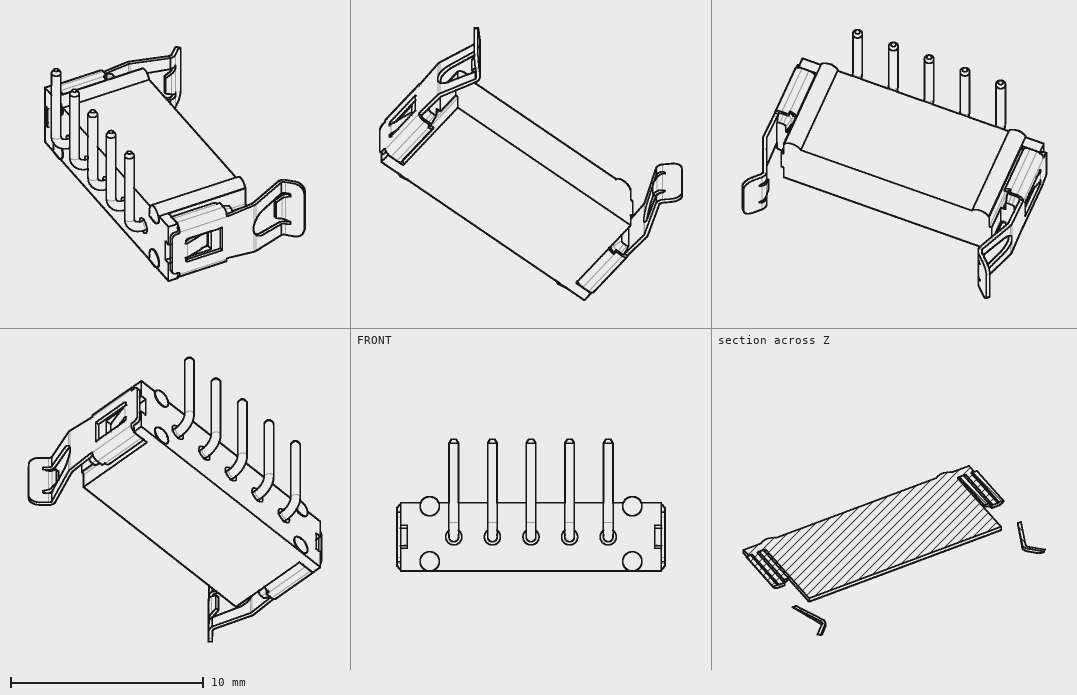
import cadquery as cq
import math


housing_height = 3.55
mid_height = housing_height / 2
housing_depth = 5.09
body_half_width = 5.75
clip_thickness = 0.2
outer_half_width = 6.95
flange_half_width = outer_half_width - clip_thickness
flange_thickness = 0.55

ridge_radius = 0.5
ridge_half_spacing = 5.25
ridge_top = 3.86
ridge_overhang = 0.04
point_length = 0.28

rail_half_height = 0.71
rail_projection = 0.14
neck_rounding = 0.08
lug_back = 3.82
lug_rounding = 0.26
lug_inner_clearance = 0.03
lug_taper_angle = 14

pin_count = 5
pin_pitch = 2.0
pin_radius = 0.25
pin_tip_radius = 0.13
pin_tip_length = 0.21
pin_bend_radius = 0.76
pin_axis_offset = 0.82
pin_top = 6.84
pin_insertion = housing_depth / 2
pin_countersink_radius = 0.42
pin_positions = [(i - (pin_count - 1) / 2) * pin_pitch for i in range(pin_count)]

channel_depth_x = 1.14
channel_half_height = 1.75
channel_bend_radius = 0.38
channel_back = 3.34
channel_inner_bend_back = 3.15
channel_flat_half_height = channel_half_height - channel_bend_radius

lug_inner_x = channel_depth_x - outer_half_width - clip_thickness - lug_inner_clearance

clip_front = 0.11
front_tab_half_height = 1.28
front_tab_rounding = 0.24
front_tab_relief = 0.08
flare_start = 3.52
arm_bend_y = 4.99
arm_end_x = -6.13
arm_end_y = 6.99
tail_bend_y = 7.1
tail_end_y = 7.9
tail_half_height = 1.72
tail_rounding = 0.54
arm_bend_inner_radius = 0.18
tail_bend_inner_radius = 0.24

opening_front = 4.9
opening_arc_y = 5.52
opening_arc_half_height = 0.79
opening_half_height = 1.0
opening_back = 7.38
tongue_front = 6.69
tongue_tip_half_height = 0.51
tongue_root_half_height = 0.83

window_front = 0.92
window_back = 3.06
window_half_height = 0.74
window_rounding = 0.14
tang_half_height = 0.46
tang_bend_y = 1.01
tang_back = 2.42
tang_drop = 0.43
groove_depth = 0.33
groove_back = 2.52
groove_half_height = 0.6


def box(x_range, y_range, z_range):
    """Axis-aligned box from its limits."""
    sizes = [high - low for low, high in (x_range, y_range, z_range)]
    corner = (x_range[0], y_range[0], z_range[0])
    return cq.Workplane("XY").box(*sizes, centered=False).translate(corner)


def about_mid(half_height):
    """Z limits of a feature centred on the housing height."""
    return (mid_height - half_height, mid_height + half_height)


def xz_plane(y):
    """Workplane at a given Y whose normal points to +Y; local x is -X and local y is Z."""
    return cq.Workplane(cq.Plane(origin=(0, y, 0), xDir=(-1, 0, 0), normal=(0, 1, 0)))


def mirrored(shape):
    """The matching shape at the +X end."""
    return shape.mirror("YZ")



def ridge(x, z):
    """Round bar along Y that ends in a point at the front."""
    bar_length = housing_depth + ridge_overhang
    bar = xz_plane(-ridge_overhang).center(-x, z).circle(ridge_radius).extrude(bar_length)
    point = cq.Solid.makeCone(
        0, ridge_radius, point_length, pnt=(x, -ridge_overhang - point_length, z), dir=(0, 1, 0)
    )
    return bar.union(cq.Workplane(point))


def lug():
    """Rounded head that fills the clip channel; its back end narrows to lead the clip on."""
    width = flange_half_width + lug_inner_x
    height = 2 * (channel_half_height - clip_thickness)
    profile = cq.Sketch().rect(width, height).vertices().fillet(lug_rounding)
    centre = ((flange_half_width - lug_inner_x) / 2, mid_height)
    head = (
        xz_plane(flange_thickness).center(*centre).placeSketch(profile)
        .extrude(channel_back - flange_thickness)
    )
    lead_in = (
        xz_plane(channel_back).center(*centre).placeSketch(profile)
        .extrude(lug_back - channel_back, taper=lug_taper_angle)
    )
    return head.union(lead_in)


def rail_and_neck():
    """Rail along the body and neck that joins it to the lug, with rounded inner corners."""
    rail_x = -body_half_width - rail_projection
    raw_heights = about_mid(rail_half_height + neck_rounding)
    rail = box((rail_x, -body_half_width), (0, housing_depth), raw_heights)
    neck = box((lug_inner_x, -body_half_width), (0, lug_back), raw_heights)
    slot_base = mid_height + rail_half_height
    upper_slot = box((lug_inner_x, -body_half_width), (0, housing_depth), (slot_base, housing_height))
    upper_slot = upper_slot.edges("|Y and <Z").fillet(neck_rounding)
    lower_slot = upper_slot.mirror("XY", basePointVector=(0, 0, mid_height))
    joint_x = lug_inner_x - lug_rounding
    joint = box((joint_x, lug_inner_x), (0, lug_back), about_mid(rail_half_height))
    return rail.union(neck).cut(upper_slot).cut(lower_slot).union(joint)


def tang_groove():
    """Groove open at the front, ending in the wall that the tang locks against."""
    floor_x = groove_depth - flange_half_width
    return box((-flange_half_width, floor_x), (0, groove_back), about_mid(groove_half_height))


def make_housing(pins, clips):
    """Housing with a hole for each pin and a recess where each tang tip presses in."""
    body = box((-body_half_width, body_half_width), (0, housing_depth), (0, housing_height))
    flange = box((-flange_half_width, flange_half_width), (0, flange_thickness), (0, housing_height))
    housing = body.union(flange)
    end_features = lug().union(rail_and_neck())
    for z in (ridge_radius, ridge_top - ridge_radius):
        end_features = end_features.union(ridge(-ridge_half_spacing, z))
    housing = housing.union(end_features).union(mirrored(end_features))
    housing = housing.cut(tang_groove()).cut(mirrored(tang_groove()))
    for clip in clips:
        housing = housing.cut(clip)
    countersink_depth = pin_countersink_radius - pin_radius
    for x, pin in zip(pin_positions, pins):
        countersink = cq.Solid.makeCone(
            pin_countersink_radius, pin_radius, countersink_depth, pnt=(x, 0, mid_height), dir=(0, 1, 0)
        )
        housing = housing.cut(cq.Workplane(countersink)).cut(pin)
    return housing



def make_pin(x):
    """Round pin that leaves the housing forwards, bends upwards and ends in a blunt cone."""
    bend_start_y = pin_bend_radius - pin_axis_offset
    bend_top_z = mid_height + pin_bend_radius
    shank_top_z = pin_top - pin_tip_length
    diagonal = pin_bend_radius * math.sqrt(0.5)
    bend_middle = (bend_start_y - diagonal, bend_top_z - diagonal)
    path = (
        cq.Workplane("YZ", origin=(x, 0, 0))
        .moveTo(pin_insertion, mid_height)
        .lineTo(bend_start_y, mid_height)
        .threePointArc(bend_middle, (-pin_axis_offset, bend_top_z))
        .lineTo(-pin_axis_offset, shank_top_z)
    )
    shank = xz_plane(pin_insertion).center(-x, mid_height).circle(pin_radius).sweep(path)
    tip = cq.Solid.makeCone(
        pin_radius, pin_tip_radius, pin_tip_length, pnt=(x, -pin_axis_offset, shank_top_z)
    )
    return shank.union(cq.Workplane(tip))



def sheet(outer_face, z_range):
    """Sheet standing along Z; its thickness lies to the right of the outer face polyline in plan."""
    headings = [
        math.atan2(end[1] - start[1], end[0] - start[0])
        for start, end in zip(outer_face, outer_face[1:])
    ]
    before = [headings[0]] + headings
    after = headings + [headings[-1]]
    inner_face = []
    for (x, y), first, second in zip(outer_face, before, after):
        mitre_length = clip_thickness / math.cos((second - first) / 2)
        mitre_heading = (first + second - math.pi) / 2
        inner_face.append((
            x + mitre_length * math.cos(mitre_heading),
            y + mitre_length * math.sin(mitre_heading),
        ))
    outline = outer_face + inner_face[::-1]
    low, high = z_range
    return cq.Workplane("XY", origin=(0, 0, low)).polyline(outline).close().extrude(high - low)


def side_prism(outline):
    """Prism along X through the whole clip, from a half outline of (Y, height above middle)."""
    upper = cq.Workplane("YZ", origin=(-outer_half_width, 0, mid_height)).polyline(outline).close()
    half = upper.extrude(outer_half_width)
    lower = half.mirror("XY", basePointVector=(0, 0, mid_height))
    return half.union(lower)


def arm_opening():
    """Opening that narrows away from the tail and ends in an arc."""
    return (
        cq.Workplane("YZ", origin=(-outer_half_width, 0, mid_height))
        .moveTo(opening_arc_y, -opening_arc_half_height)
        .threePointArc((opening_front, 0), (opening_arc_y, opening_arc_half_height))
        .lineTo(arm_end_y, opening_half_height)
        .lineTo(opening_back, opening_half_height)
        .lineTo(opening_back, -opening_half_height)
        .lineTo(arm_end_y, -opening_half_height)
        .close()
        .extrude(outer_half_width)
        .edges("|X and >Y").fillet((opening_half_height - tongue_root_half_height) / 2)
    )


def rounded_tail_bend(bent_sheet):
    """Rounds both faces of the bend at the foot of the tail."""
    outside_y = tail_bend_y + clip_thickness * math.tan(math.pi / 8)
    inner_edge = cq.selectors.NearestToPointSelector((arm_end_x, tail_bend_y, mid_height))
    outer_edge = cq.selectors.NearestToPointSelector((arm_end_x + clip_thickness, outside_y, mid_height))
    inside_rounded = bent_sheet.edges(inner_edge).fillet(tail_bend_inner_radius)
    return inside_rounded.edges(outer_edge).fillet(tail_bend_inner_radius + clip_thickness)


def rounded_arm_bend(bent_sheet):
    """Rounds both faces of the bend where the arms leave the wall."""
    outer_edge = cq.selectors.NearestToPointSelector((-outer_half_width, arm_bend_y, mid_height))
    inner_edge = cq.selectors.NearestToPointSelector((-flange_half_width, arm_bend_y, mid_height))
    outside_rounded = bent_sheet.edges(outer_edge).fillet(arm_bend_inner_radius + clip_thickness)
    return outside_rounded.edges(inner_edge).fillet(arm_bend_inner_radius)


def rounded_tail_corners(spring):
    """Rounds the upper and lower corners at the free end of the tail."""
    outer_end_x = arm_end_x - (tail_end_y - tail_bend_y)
    half_step = clip_thickness * math.sqrt(0.5) / 2
    for z in about_mid(tail_half_height):
        corner = (outer_end_x + half_step, tail_end_y + half_step, z)
        spring = spring.edges(cq.selectors.NearestToPointSelector(corner)).fillet(tail_rounding)
    return spring


def spring_wall():
    """Flat wall, two inclined arms and an outward tail, with a tongue between the arms."""
    z_range = about_mid(tail_half_height)
    tail = [(arm_end_x, tail_bend_y), (arm_end_x - (tail_end_y - tail_bend_y), tail_end_y)]
    wall_and_arms = [
        (-outer_half_width, flange_thickness),
        (-outer_half_width, arm_bend_y),
        (arm_end_x, arm_end_y),
    ]
    spring = rounded_arm_bend(rounded_tail_bend(sheet(wall_and_arms + tail, z_range)))
    side_outline = side_prism([
        (flange_thickness, 0),
        (flange_thickness, channel_flat_half_height),
        (flare_start, channel_flat_half_height),
        (arm_end_y, tail_half_height),
        (tail_end_y + clip_thickness, tail_half_height),
        (tail_end_y + clip_thickness, 0),
    ])
    spring = rounded_tail_corners(spring.intersect(side_outline)).cut(arm_opening())
    tongue_outline = side_prism([
        (tongue_front, 0),
        (tongue_front, tongue_tip_half_height),
        (opening_back, tongue_root_half_height),
        (opening_back, 0),
    ])
    tongue_face = [(arm_end_x, tongue_front)] + tail
    tongue = rounded_tail_bend(sheet(tongue_face, z_range)).intersect(tongue_outline)
    return spring.union(tongue)


def front_tab():
    """Flat tab that lies on the end of the flange."""
    tab = box(
        (-outer_half_width, -flange_half_width), (clip_front, flange_thickness),
        about_mid(front_tab_half_height),
    )
    return tab.edges("|X and <Y").fillet(front_tab_rounding)


def channel():
    """Upper and lower folds that hook around the lug."""
    height = 2 * channel_half_height
    outer = cq.Sketch().rect(channel_depth_x, height).vertices().fillet(channel_bend_radius)
    inner = (
        cq.Sketch().rect(channel_depth_x - 2 * clip_thickness, height - 2 * clip_thickness)
        .vertices().fillet(channel_bend_radius - clip_thickness)
    )
    centre = (outer_half_width - channel_depth_x / 2, mid_height)
    length = channel_back - flange_thickness
    tube = xz_plane(flange_thickness).center(*centre).placeSketch(outer).extrude(length)
    bore = xz_plane(flange_thickness).center(*centre).placeSketch(inner).extrude(length)
    inner_x = channel_depth_x - outer_half_width
    inner_gap = box(
        (inner_x - clip_thickness, inner_x), (flange_thickness, channel_back),
        about_mid(channel_flat_half_height),
    )
    short_bend = box(
        (inner_x - channel_bend_radius, inner_x), (channel_inner_bend_back, channel_back),
        about_mid(channel_half_height),
    )
    return tube.cut(bore).cut(inner_gap).cut(short_bend)


def window():
    """Window in the clip wall, with rounded front corners."""
    opening = box(
        (-outer_half_width, -flange_half_width), (window_front, window_back), about_mid(window_half_height)
    )
    return opening.edges("|X and <Y").fillet(window_rounding)


def tang():
    """Tongue bent inwards from the front edge of the window."""
    face = [
        (-outer_half_width, flange_thickness),
        (-outer_half_width, tang_bend_y),
        (-outer_half_width + tang_drop, tang_back),
    ]
    return sheet(face, about_mid(tang_half_height))


def make_clip():
    """Sheet-metal clip of the -X end."""
    clip = spring_wall().union(front_tab()).union(channel())
    relief_x = -outer_half_width + clip_thickness / 2
    for z in about_mid(front_tab_half_height):
        inner_corner = cq.selectors.NearestToPointSelector((relief_x, flange_thickness, z))
        clip = clip.edges(inner_corner).fillet(front_tab_relief)
    return clip.cut(window()).union(tang())


pins = [make_pin(x) for x in pin_positions]
left_clip = make_clip()
clips = [left_clip, mirrored(left_clip)]
housing = make_housing(pins, clips)

result = cq.Compound.makeCompound([
    housing.val(),
    *[clip.val() for clip in clips],
    *[pin.val() for pin in pins],
])